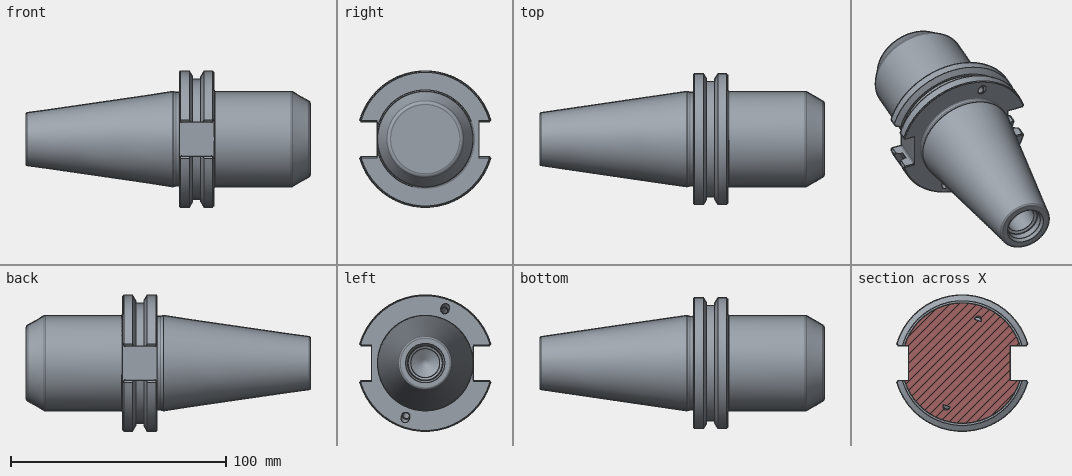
import cadquery as cq
import math

tolerance = 0.01
cutter_overrun = 1.3

total_length = 132.2
gauge_x = 68.2
neck_x = 69.7
flange_front_x = 71.4
flange_back_x = 87.3
nose_cone_x = 123.7

gauge_radius = 22.2
taper_per_length = 7 / 24
taper_end_radius = gauge_radius - gauge_x * taper_per_length / 2
taper_end_fillet = 0.8
neck_radius = 21.8
neck_fillet = 0.3

flange_radius = 31.7
flange_front_chamfer = 0.4
flange_back_chamfer = 0.7
groove_front_x = 75.9
groove_width = 6.9
groove_floor_width = 3.7
groove_floor_radius = 28.0
flank_angle = 60.0
flank_run = (groove_width - groove_floor_width) / 2
flank_end_radius = flange_radius - flank_run * math.tan(math.radians(flank_angle))

body_radius = 22.2
body_root_fillet = 0.7
nose_angle = 30.0
nose_shoulder_fillet = 1.3
nose_tip_fillet = 2.0
nose_end_radius = body_radius - (total_length - nose_cone_x) * math.tan(math.radians(nose_angle))

slot_half_width = 8.1
slot_floor_plus_y = 25.0
slot_floor_minus_y = 22.4
slot_corner_fillet = 0.4
slot_rim_chamfer = 0.9

bore_mouth_radius = 9.1
bore_mouth_half_angle = 30.0
counterbore_radius = 8.2
counterbore_length = 3.3
seat_radius = 8.0
bore_radius = 6.7
bore_seat_half_angle = 60.0
bore_end_x = 33.0
drill_half_angle = 59.0

face_hole_radial = 27.0
face_hole_angle = 70.0
face_hole_tilt = 33.0
face_hole_radius = 2.0
face_hole_depth = 1.9
face_hole_inner_radius = 1.6
face_hole_total_depth = 10.6
face_hole_overrun = 4.0


def revolve_about_x(points):
    """Solid of revolution about X from (x, radius) points."""
    return cq.Workplane("XY").polyline(points).close().revolve(360, (0, 0, 0), (1, 0, 0))


def round_edge(solid, x, radius, size):
    """Fillet the circular edge of the given radius at station x."""
    edges = [edge for edge in solid.edges("%CIRCLE").vals()
             if abs(edge.Center().x - x) < tolerance and abs(edge.radius() - radius) < tolerance]
    return solid.newObject(edges).fillet(size)


def make_root(x, radius, size, direction):
    """Disc with a concave rim that fillets a cylinder into a wall at x; direction is +1 or -1 along X."""
    far_x = x + direction * size
    return (
        cq.Workplane("XY")
        .moveTo(x, 0)
        .lineTo(x, radius + size)
        .radiusArc((far_x, radius), -direction * size)
        .lineTo(far_x, 0)
        .close()
        .revolve(360, (0, 0, 0), (1, 0, 0))
    )


def make_slot(side, floor_y):
    """Cutter for one drive slot; side is +1 for +Y and -1 for -Y."""
    length = flange_back_x + body_root_fillet - flange_front_x
    depth = flange_radius + cutter_overrun - floor_y
    return (
        cq.Workplane("XY")
        .box(length, depth, 2 * slot_half_width)
        .translate((flange_front_x + length / 2, side * (floor_y + depth / 2), 0))
    )


def cut_slots(solid):
    """Cut both drive slots, which also trim the fillet behind the flange."""
    return solid.cut(make_slot(1, slot_floor_plus_y)).cut(make_slot(-1, slot_floor_minus_y))


def make_shank():
    """Taper and neck, up to the flange, with the rounded small end."""
    shank = revolve_about_x([
        (0, 0),
        (0, taper_end_radius),
        (gauge_x, gauge_radius),
        (neck_x, neck_radius),
        (flange_front_x, neck_radius),
        (flange_front_x, 0),
    ])
    shank = round_edge(shank, 0, taper_end_radius, taper_end_fillet)
    return shank.union(make_root(flange_front_x, neck_radius, neck_fillet, -1))


def make_body():
    """Cylindrical tool body with the conical, rounded nose."""
    body = revolve_about_x([
        (flange_back_x, 0),
        (flange_back_x, body_radius),
        (nose_cone_x, body_radius),
        (total_length, nose_end_radius),
        (total_length, 0),
    ])
    body = round_edge(body, nose_cone_x, body_radius, nose_shoulder_fillet)
    body = round_edge(body, total_length, nose_end_radius, nose_tip_fillet)
    return cut_slots(body.union(make_root(flange_back_x, body_radius, body_root_fillet, 1)))


def make_flange():
    """Flange disc with V groove, drive slots and broken edges."""
    flange = revolve_about_x([
        (flange_front_x, 0),
        (flange_front_x, flange_radius),
        (flange_back_x, flange_radius),
        (flange_back_x, 0),
    ])
    flange = cut_slots(flange)
    rim_corners = [edge for edge in flange.edges("|X").vals()
                   if abs(math.hypot(edge.Center().y, edge.Center().z) - flange_radius) < tolerance]
    flange = flange.newObject(rim_corners).chamfer(slot_rim_chamfer)
    flange = flange.faces("<X").edges("not |Z").chamfer(flange_front_chamfer)
    flange = flange.faces(">X").edges("not |Z").chamfer(flange_back_chamfer)
    for floor_y in (slot_floor_plus_y, -slot_floor_minus_y):
        corners = [edge for edge in flange.edges("|X").vals() if abs(edge.Center().y - floor_y) < tolerance]
        flange = flange.newObject(corners).fillet(slot_corner_fillet)

    groove_back_x = groove_front_x + groove_width
    groove = revolve_about_x([
        (groove_front_x, flange_radius + cutter_overrun),
        (groove_front_x, flange_radius),
        (groove_front_x + flank_run, flank_end_radius),
        (groove_front_x + flank_run, groove_floor_radius),
        (groove_back_x - flank_run, groove_floor_radius),
        (groove_back_x - flank_run, flank_end_radius),
        (groove_back_x, flange_radius),
        (groove_back_x, flange_radius + cutter_overrun),
    ])
    return flange.cut(groove)


def make_bore():
    """Cutter for the stepped bore with its conical mouth and drilled end."""
    mouth_x = (bore_mouth_radius - counterbore_radius) / math.tan(math.radians(bore_mouth_half_angle))
    seat_x = mouth_x + counterbore_length
    seat_end_x = seat_x + (seat_radius - bore_radius) / math.tan(math.radians(bore_seat_half_angle))
    tip_x = bore_end_x + bore_radius / math.tan(math.radians(drill_half_angle))
    return revolve_about_x([
        (0, 0),
        (0, bore_mouth_radius),
        (mouth_x, counterbore_radius),
        (seat_x, counterbore_radius),
        (seat_x, seat_radius),
        (seat_end_x, bore_radius),
        (bore_end_x, bore_radius),
        (tip_x, 0),
    ])


def make_face_hole(angle):
    """Cutter for one inclined hole at the given angle around the axis."""
    tilt = math.radians(face_hole_tilt)
    mouth = cq.Vector(flange_front_x, 0, face_hole_radial)
    direction = cq.Vector(math.cos(tilt), 0, -math.sin(tilt))
    start = mouth - direction * face_hole_overrun
    wide = cq.Solid.makeCylinder(face_hole_radius, face_hole_overrun + face_hole_depth, start, direction)
    narrow = cq.Solid.makeCylinder(face_hole_inner_radius, face_hole_total_depth, mouth, direction)
    return cq.Workplane(wide).union(cq.Workplane(narrow)).rotate((0, 0, 0), (1, 0, 0), 90 - angle)


result = make_shank().union(make_flange()).union(make_body())
result = result.cut(make_bore())
for half_turn in (0, 180):
    result = result.cut(make_face_hole(face_hole_angle + half_turn))